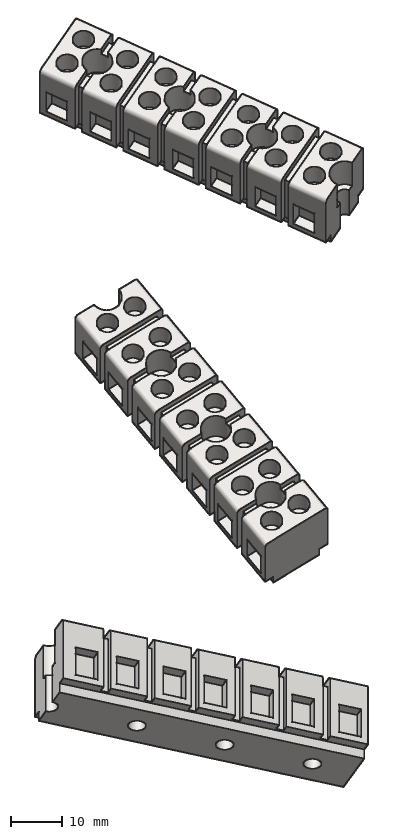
import cadquery as cq


length = 64.2
width = 15.0
height = 16.1
top_edge_radius = 0.95

rail_width = 11.05
rail_height = 2.1

block_count = 7
block_width = 7.7
slot_width = 1.55
block_pitch = block_width + slot_width
first_slot_start = 7.95
slot_side_depth = 1.5
slot_top_depth = 1.6

mount_count = 4
mount_pitch = 2 * block_pitch
mount_diameter = 3.5
counterbore_diameter = 6.0
counterbore_depth = 7.7
mount_centres = [first_slot_start + slot_width / 2 + mount_pitch * i for i in range(mount_count)]

terminal_offset = 4.95
screw_hole_diameter = 4.25
screw_hole_depth = 5.15
screw_hole_y = 3.3
window_width = 4.7
window_bottom = 3.5
window_top = 9.95
window_depth = 2.25
terminal_centres = [
    mount_centres[i // 2] + (terminal_offset if i % 2 else -terminal_offset)
    for i in range(block_count)
]


def make_body():
    """Full-length bar with rounded upper edges, on the narrower foot rail."""
    bar = (
        cq.Workplane("XY")
        .box(length, width, height - rail_height, centered=(False, True, False))
        .translate((0, 0, rail_height))
        .edges("|X and >Z")
        .fillet(top_edge_radius)
    )
    rail = cq.Workplane("XY").box(length, rail_width, rail_height, centered=(False, True, False))
    return bar.union(rail)


def make_slots():
    """Grooves around the top and both sides, between neighbouring blocks."""
    core_width = width - 2 * slot_side_depth
    core_height = height - slot_top_depth
    ring = (
        cq.Workplane("XY")
        .box(slot_width, width, height - rail_height, centered=(False, True, False))
        .translate((0, 0, rail_height))
    )
    core = cq.Workplane("XY").box(slot_width, core_width, core_height, centered=(False, True, False))
    groove = ring.cut(core)
    slots = cq.Workplane("XY")
    for i in range(block_count - 1):
        slots = slots.add(groove.translate((first_slot_start + block_pitch * i, 0, 0)))
    return slots.combine()


def cut_mounting_holes(body):
    """Vertical through holes with a counterbore from the top."""
    centres = [(x, 0) for x in mount_centres]
    through_holes = cq.Workplane("XY").pushPoints(centres).circle(mount_diameter / 2).extrude(height)
    counterbores = (
        cq.Workplane("XY", origin=(0, 0, height))
        .pushPoints(centres)
        .circle(counterbore_diameter / 2)
        .extrude(-counterbore_depth)
    )
    return body.cut(through_holes).cut(counterbores)


def cut_screw_holes(body):
    """Two blind holes in the top of every block."""
    centres = [(x, y) for x in terminal_centres for y in (-screw_hole_y, screw_hole_y)]
    holes = (
        cq.Workplane("XY", origin=(0, 0, height))
        .pushPoints(centres)
        .circle(screw_hole_diameter / 2)
        .extrude(-screw_hole_depth)
    )
    return body.cut(holes)


def cut_wire_windows(body):
    """A blind rectangular window in both side faces of every block."""
    window_middle = (window_bottom + window_top) / 2
    window_height = window_top - window_bottom
    windows = (
        cq.Workplane("XZ", origin=(0, -width / 2, 0))
        .pushPoints([(x, window_middle) for x in terminal_centres])
        .rect(window_width, window_height)
        .extrude(-window_depth)
    )
    return body.cut(windows).cut(windows.mirror("XZ"))


body = make_body().cut(make_slots())
body = cut_mounting_holes(body)
body = cut_screw_holes(body)
result = cut_wire_windows(body)